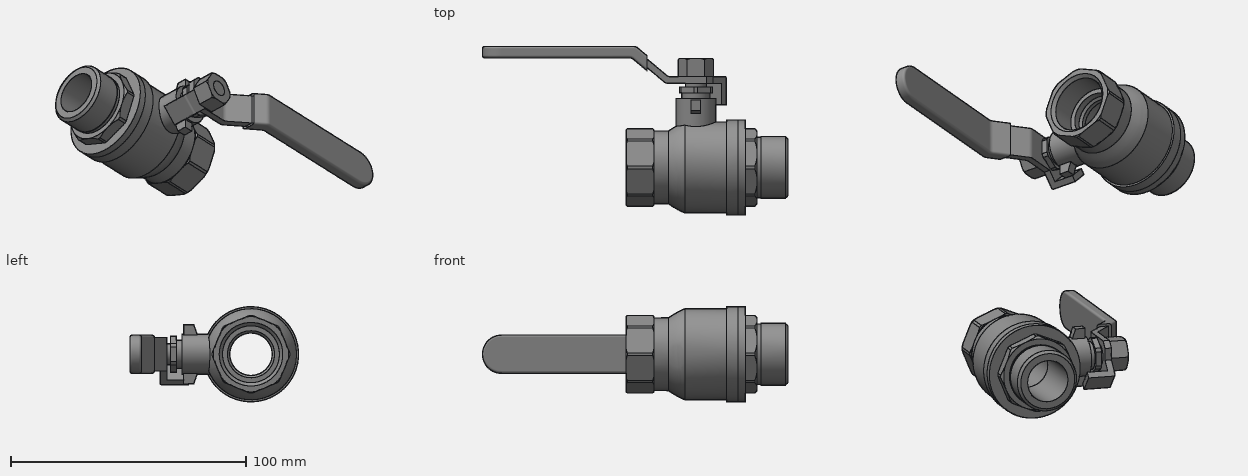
import cadquery as cq
import math


INLET_END_X = -29.6
INLET_OCTAGON_END_X = -17.8
NECK_END_X = -11.6
BARREL_START_X = -4.7
RIM_START_X = 13.1
JOINT_X = 18.0
FLANGE_END_X = 21.0
OUTLET_OCTAGON_END_X = 26.1
THREAD_START_X = 27.7
OUTLET_END_X = 39.3

RIM_DIA = 40.5
BARREL_DIA = 38.7
NECK_DIA = 31.1
SHOULDER_BULGE = 0.3
OCTAGON_FLATS = 31.0
OCTAGON_CORNER_DIA = 33.0
INLET_OCTAGON_CHAMFER = 0.5
OUTLET_OCTAGON_CHAMFER = 1.0
THREAD_DIA = 26.4
THREAD_RELIEF_DIA = 25.9
THREAD_CHAMFER = 1.2
INLET_THREAD_DIA = 24.2
INLET_MOUTH_DIA = 27.0
INLET_THREAD_DEPTH = 12.5
SEAT_BORE_DIA = 20.0
FLOW_DIA = 18.0
FLOW_CONE_START_X = -14.0
FLOW_CONE_END_X = -13.0
BALL_DIA = 28.6
PLUG_START_X = 5.2

SLOT_FLOOR_Y = 11.0
STEM_SHOULDER_Y = BALL_DIA / 2
GLAND_SEAT_Y = 24.7
BOSS_TOP_Y = 29.4
GLAND_HEX_Y = 31.7
GLAND_TOP_Y = 34.3
LEVER_BOTTOM_Y = 35.8
LEVER_THICKNESS = 2.9
LEVER_TOP_Y = LEVER_BOTTOM_Y + LEVER_THICKNESS
NUT_TOP_Y = 46.4

BOSS_DIA = 17.0
STEM_DIA = 9.0
STUD_DIA = 6.8
TONGUE_WIDTH = 3.9
GLAND_NECK_DIA = 12.0
GLAND_FLATS = 14.0
GLAND_CORNER_DIA = 15.3
NUT_CORNER_DIA = 15.1
NUT_CHAMFER = 0.6
GLAND_TURN = 30

LUG_WIDTH = 4.0
LUG_TIP_Z = 12.6
LUG_TOP_Y = 28.6
LUG_TIP_BOTTOM_Y = 24.3
LUG_ROOT_BOTTOM_Y = 22.9

LEVER_WIDTH = 14.3
BEND_ANGLE = math.radians(40)
LOWER_BEND_X = -12.7
GRIP_LEVER_BOTTOM_Y = 47.6
BEND_RADIUS = 2.6
LEVER_END_X = 7.3
LEVER_END_CHAMFER = 2.7
GRIP_LEFT_X = -90.7
GRIP_RIGHT_X = -20.7
GRIP_WALL = 1.0
GRIP_WIDTH = LEVER_WIDTH + 2 * GRIP_WALL
GRIP_FILLET = 1.0

ARM_WIDTH = 9.2
ARM_REACH = 13.8
ARM_ANGLE = 45
ARM_TIP_Y = 26.6
ARM_FILLET = 0.8


def x_cylinder(diameter, start, end):
    return cq.Workplane("YZ", origin=(start, 0, 0)).circle(diameter / 2).extrude(end - start)


def y_cylinder(diameter, start, end):
    return cq.Workplane("XZ", origin=(0, start, 0)).circle(diameter / 2).extrude(start - end)


def x_cone(start_diameter, end_diameter, start, end):
    profile = [(start, 0), (start, start_diameter / 2), (end, end_diameter / 2), (end, 0)]
    return cq.Workplane("XY").polyline(profile).close().revolve(360, (0, 0, 0), (1, 0, 0))


def ball_sphere():
    """Sphere with its poles on the X axis, inside the flow bore."""
    return cq.Workplane("YZ").sphere(BALL_DIA / 2)


def octagon(start, end, chamfer, chamfered_ends):
    """Wrench octagon with corners on the Y and Z axes, trimmed round at its corners."""
    across_corners = OCTAGON_FLATS / math.cos(math.pi / 8)
    prism = cq.Workplane("YZ", origin=(start, 0, 0)).polygon(8, across_corners).extrude(end - start)
    trim = x_cylinder(OCTAGON_CORNER_DIA, start, end).faces(chamfered_ends).chamfer(chamfer)
    return prism.intersect(trim)


def y_hexagon(across_corners, start, end, turn=0):
    """Hexagon along Y with corners on the X axis, then turned about Y by `turn` degrees."""
    prism = cq.Workplane("XZ", origin=(0, start, 0)).polygon(6, across_corners).extrude(start - end)
    return prism.rotate((0, 0, 0), (0, 1, 0), turn)


def stop_lugs():
    """A bar across the boss whose two ends are the stop lugs, with sloping undersides."""
    outline = [
        (-LUG_TIP_Z, LUG_TOP_Y),
        (-LUG_TIP_Z, LUG_TIP_BOTTOM_Y),
        (-BOSS_DIA / 2, LUG_ROOT_BOTTOM_Y),
        (BOSS_DIA / 2, LUG_ROOT_BOTTOM_Y),
        (LUG_TIP_Z, LUG_TIP_BOTTOM_Y),
        (LUG_TIP_Z, LUG_TOP_Y),
    ]
    plane = cq.Plane(origin=(-LUG_WIDTH / 2, 0, 0), xDir=(0, 0, -1), normal=(1, 0, 0))
    return cq.Workplane(plane).polyline(outline).close().extrude(LUG_WIDTH)


def shoulder():
    """Slightly bulging flare from the neck to the barrel."""
    middle_x = (NECK_END_X + BARREL_START_X) / 2
    middle_radius = (NECK_DIA + BARREL_DIA) / 4 + SHOULDER_BULGE
    return (
        cq.Workplane("XY")
        .moveTo(NECK_END_X, 0)
        .lineTo(NECK_END_X, NECK_DIA / 2)
        .threePointArc((middle_x, middle_radius), (BARREL_START_X, BARREL_DIA / 2))
        .lineTo(BARREL_START_X, 0)
        .close()
        .revolve(360, (0, 0, 0), (1, 0, 0))
    )


def make_body():
    thread_end = INLET_END_X + INLET_THREAD_DEPTH
    mouth_length = (INLET_MOUTH_DIA - INLET_THREAD_DIA) / 2
    solid = (
        octagon(INLET_END_X, INLET_OCTAGON_END_X, INLET_OCTAGON_CHAMFER, "|X")
        .union(x_cylinder(NECK_DIA, INLET_OCTAGON_END_X, NECK_END_X))
        .union(shoulder())
        .union(x_cylinder(BARREL_DIA, BARREL_START_X, RIM_START_X))
        .union(x_cylinder(RIM_DIA, RIM_START_X, JOINT_X))
        .union(y_cylinder(BOSS_DIA, 0, BOSS_TOP_Y))
        .union(stop_lugs())
    )
    return (
        solid.cut(x_cone(INLET_MOUTH_DIA, INLET_THREAD_DIA, INLET_END_X, INLET_END_X + mouth_length))
        .cut(x_cylinder(INLET_THREAD_DIA, INLET_END_X, thread_end))
        .cut(x_cylinder(SEAT_BORE_DIA, thread_end, FLOW_CONE_START_X))
        .cut(x_cone(SEAT_BORE_DIA, FLOW_DIA, FLOW_CONE_START_X, FLOW_CONE_END_X))
        .cut(x_cylinder(FLOW_DIA, thread_end, 0))
        .cut(ball_sphere())
        .cut(x_cylinder(BALL_DIA, 0, JOINT_X))
        .cut(y_cylinder(STEM_DIA, 0, GLAND_SEAT_Y))
        .cut(y_cylinder(GLAND_NECK_DIA, GLAND_SEAT_Y, BOSS_TOP_Y))
    )


def make_connector():
    thread = x_cylinder(THREAD_DIA, THREAD_START_X, OUTLET_END_X).faces(">X").chamfer(THREAD_CHAMFER)
    return (
        x_cylinder(BALL_DIA, PLUG_START_X, JOINT_X)
        .union(x_cylinder(RIM_DIA, JOINT_X, FLANGE_END_X))
        .union(octagon(FLANGE_END_X, OUTLET_OCTAGON_END_X, OUTLET_OCTAGON_CHAMFER, ">X"))
        .union(x_cylinder(THREAD_RELIEF_DIA, OUTLET_OCTAGON_END_X, THREAD_START_X))
        .union(thread)
        .cut(x_cylinder(FLOW_DIA, PLUG_START_X, OUTLET_END_X))
        .cut(ball_sphere())
    )


def tongue():
    """Flat foot of the stem, as wide as the ball slot and as long as the stem diameter."""
    height = STEM_SHOULDER_Y - SLOT_FLOOR_Y
    foot = cq.Workplane("XY").box(STEM_DIA, height, TONGUE_WIDTH, centered=(True, False, True))
    return foot.translate((0, SLOT_FLOOR_Y, 0)).intersect(y_cylinder(STEM_DIA, SLOT_FLOOR_Y, STEM_SHOULDER_Y))


def make_ball():
    return ball_sphere().cut(x_cylinder(FLOW_DIA, -BALL_DIA / 2, BALL_DIA / 2)).cut(tongue())


def make_stem():
    return (
        tongue()
        .union(y_cylinder(STEM_DIA, STEM_SHOULDER_Y, LEVER_BOTTOM_Y))
        .union(y_cylinder(STUD_DIA, LEVER_BOTTOM_Y, NUT_TOP_Y))
    )


def make_gland():
    across_corners = GLAND_FLATS / math.cos(math.pi / 6)
    head = y_hexagon(across_corners, GLAND_HEX_Y, GLAND_TOP_Y, GLAND_TURN)
    return (
        head.intersect(y_cylinder(GLAND_CORNER_DIA, GLAND_HEX_Y, GLAND_TOP_Y))
        .union(y_cylinder(GLAND_NECK_DIA, GLAND_SEAT_Y, GLAND_HEX_Y))
        .cut(y_cylinder(STEM_DIA, GLAND_SEAT_Y, GLAND_TOP_Y))
    )


def make_nut():
    rounding = y_cylinder(NUT_CORNER_DIA, LEVER_TOP_Y, NUT_TOP_Y).faces(">Y").chamfer(NUT_CHAMFER)
    return (
        y_hexagon(NUT_CORNER_DIA, LEVER_TOP_Y, NUT_TOP_Y)
        .intersect(rounding)
        .cut(y_cylinder(STUD_DIA, LEVER_TOP_Y, NUT_TOP_Y))
    )


def bent_strip(left, right, offset, width):
    """Strip with two bends, thickened by `offset` on both faces of the lever sheet."""
    bend_shift = math.tan(BEND_ANGLE / 2)
    upper_bend_x = LOWER_BEND_X - (GRIP_LEVER_BOTTOM_Y - LEVER_BOTTOM_Y) / math.tan(BEND_ANGLE)
    thickness = LEVER_THICKNESS + 2 * offset
    low = LEVER_BOTTOM_Y - offset
    high = GRIP_LEVER_BOTTOM_Y - offset
    low_x = LOWER_BEND_X - offset * bend_shift
    high_x = upper_bend_x - offset * bend_shift
    outline = [
        (left, high),
        (high_x, high),
        (low_x, low),
        (right, low),
        (right, low + thickness),
        (low_x + thickness * bend_shift, low + thickness),
        (high_x + thickness * bend_shift, high + thickness),
        (left, high + thickness),
    ]
    strip = cq.Workplane("XY", origin=(0, 0, -width / 2)).polyline(outline).close().extrude(width)
    return strip.edges("|Z").edges("not(<X or >X)").fillet(BEND_RADIUS)


def round_ended(left, right, width):
    """Blank tall enough to span the whole lever, seen along Y as a strip with a half-round left end."""
    radius = width / 2
    return (
        cq.Workplane("XZ")
        .moveTo(right, -radius)
        .lineTo(left + radius, -radius)
        .threePointArc((left, 0), (left + radius, radius))
        .lineTo(right, radius)
        .close()
        .extrude(-2 * NUT_TOP_Y)
    )


def lever_blank():
    left = GRIP_LEFT_X + GRIP_WALL
    outline = round_ended(left, LEVER_END_X, LEVER_WIDTH).edges("|Y and >X").chamfer(LEVER_END_CHAMFER)
    return bent_strip(left, LEVER_END_X, 0, LEVER_WIDTH).intersect(outline)


def stop_arm():
    """Arm in the lever plane whose end folds down towards the boss."""
    outline = [
        (0, LEVER_BOTTOM_Y),
        (ARM_REACH - LEVER_THICKNESS, LEVER_BOTTOM_Y),
        (ARM_REACH - LEVER_THICKNESS, ARM_TIP_Y),
        (ARM_REACH, ARM_TIP_Y),
        (ARM_REACH, LEVER_TOP_Y),
        (0, LEVER_TOP_Y),
    ]
    arm = cq.Workplane("XY", origin=(0, 0, -ARM_WIDTH / 2)).polyline(outline).close().extrude(ARM_WIDTH)
    return arm.edges("|Z and >X and >Y").fillet(ARM_FILLET).rotate((0, 0, 0), (0, 1, 0), ARM_ANGLE)


def make_lever():
    return lever_blank().union(stop_arm()).cut(y_cylinder(STUD_DIA, LEVER_BOTTOM_Y, LEVER_TOP_Y))


def make_grip():
    sleeve = bent_strip(GRIP_LEFT_X, LEVER_END_X, GRIP_WALL, GRIP_WIDTH)
    sleeve = sleeve.intersect(round_ended(GRIP_LEFT_X, GRIP_RIGHT_X, GRIP_WIDTH))
    return sleeve.edges("not(|Y or |Z)").fillet(GRIP_FILLET).cut(lever_blank())


body = make_body()
connector = make_connector()
ball = make_ball()
stem = make_stem()
gland = make_gland()
nut = make_nut()
lever = make_lever()
grip = make_grip()

result = cq.Compound.makeCompound(
    [
        body.solids().val(),
        connector.solids().val(),
        ball.solids().val(),
        stem.solids().val(),
        gland.solids().val(),
        nut.solids().val(),
        lever.solids().val(),
        grip.solids().val(),
    ]
)